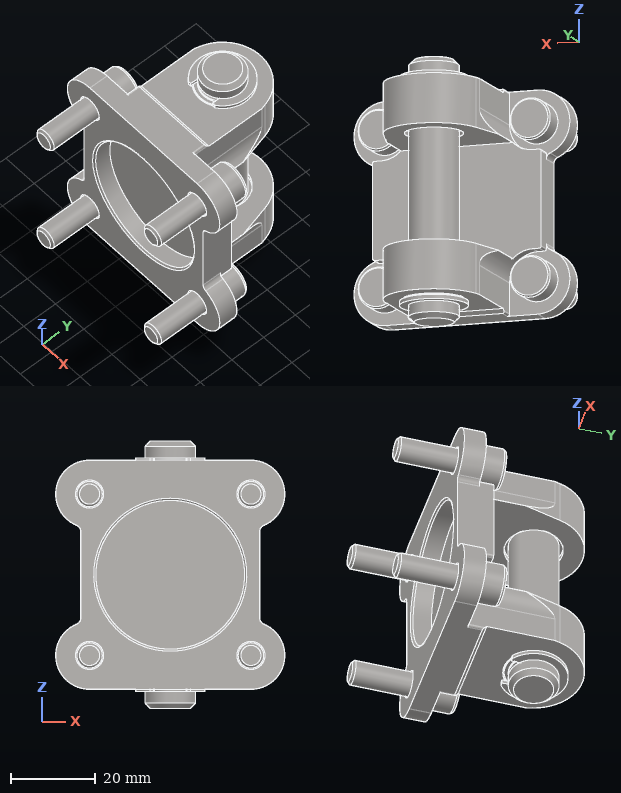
import cadquery as cq
import math


FLANGE_SIZE = 54.0
FLANGE_THICK = 5.4
LOBE_RADIUS = 8.0
WAIST_WIDTH = 42.2
WAIST_FILLET = 1.5
PAD_TOP = 8.95
PAD_EDGE_FILLET = 0.5
BORE_DIAMETER = 35.0
BORE_DEPTH = 5.0
BORE_CHAMFER = 0.5

SCREW_DIAMETER = 6.0
SCREW_LENGTH = 20.0
SCREW_TIP_CHAMFER = 0.6
HEAD_DIAMETER = 10.0
HEAD_HEIGHT = 6.0
HEAD_CHAMFER_RADIAL = 0.4
HEAD_CHAMFER_AXIAL = 0.6
SCREW_HOLE_DIAMETER = 6.6
HEAD_CLEARANCE = 14.1

ARM_TIP_RADIUS = 12.0
ARM_ROOT_WIDTH = 28.0
ARM_TAPER = 15.0
ARM_OUTER_Z = 26.0
ARM_INNER_Z = 14.0

PIN_Y = 24.95
PIN_DIAMETER = 12.0
PIN_LENGTH = 63.0
PIN_CHAMFER = 1.25
SEAT_DIAMETER = 13.9
SEAT_DEPTH = 1.25
SEAT_GROOVE = 0.3
CLIP_DIAMETER = 16.25
CLIP_BORE = 8.0
CLIP_THICK = 1.0
CLIP_INNER_Z = 26.5
CLIP_MOUTH_INNER = 7.3
CLIP_MOUTH_OUTER = 7.8
CLIP_FLAT = 6.6

HALF = FLANGE_SIZE / 2
SCREW_OFFSET = HALF - LOBE_RADIUS
CORNERS = [(x, z) for x in (-SCREW_OFFSET, SCREW_OFFSET) for z in (-SCREW_OFFSET, SCREW_OFFSET)]
ARM_TIP_Y = PIN_Y + ARM_TIP_RADIUS
CLIP_LEVELS = [CLIP_INNER_Z, -CLIP_INNER_Z - CLIP_THICK]


def prism_y(sketch, y_from, y_to):
    """Extrude a closed XZ outline from one Y level to another."""
    return sketch.extrude(y_from - y_to).translate((0, y_from, 0))


def cylinder_y(x, z, diameter, y_from, y_to):
    """Cylinder along Y, centred at x and z."""
    return prism_y(cq.Workplane("XZ").center(x, z).circle(diameter / 2), y_from, y_to)


def cylinder_z(diameter, z_from, z_to):
    """Cylinder around the pin axis."""
    return cq.Workplane("XY", origin=(0, PIN_Y, z_from)).circle(diameter / 2).extrude(z_to - z_from)


def make_flange():
    """Plate with a straight waist and a rounded bar across each end."""
    flange = prism_y(cq.Workplane("XZ").rect(WAIST_WIDTH, 2 * SCREW_OFFSET), 0, FLANGE_THICK)
    for z in (-SCREW_OFFSET, SCREW_OFFSET):
        bar = cq.Workplane("XZ").center(0, z).slot2D(FLANGE_SIZE, 2 * LOBE_RADIUS)
        flange = flange.union(prism_y(bar, 0, FLANGE_THICK))
    lobe_reach = math.sqrt(LOBE_RADIUS**2 - (WAIST_WIDTH / 2 - SCREW_OFFSET) ** 2)
    notch_z = SCREW_OFFSET - lobe_reach
    near = 0.05
    for x in (-WAIST_WIDTH / 2, WAIST_WIDTH / 2):
        for z in (-notch_z, notch_z):
            corner = cq.selectors.BoxSelector(
                (x - near, -near, z - near), (x + near, FLANGE_THICK + near, z + near)
            )
            flange = flange.edges("|Y").edges(corner).fillet(WAIST_FILLET)
    return flange


def make_pad():
    """Raised block on the back of the flange."""
    return prism_y(cq.Workplane("XZ").rect(WAIST_WIDTH, FLANGE_SIZE), FLANGE_THICK, PAD_TOP)


def head_clearance(x, z):
    """Space around a screw head, round toward the centre and open outward in X and Z."""
    side_x = math.copysign(1, x)
    side_z = math.copysign(1, z)
    radius = HEAD_CLEARANCE / 2
    mid = radius * math.sqrt(0.5)
    outline = (
        cq.Workplane("XZ")
        .center(x, z)
        .moveTo(-side_x * radius, side_z * HALF)
        .lineTo(-side_x * radius, 0)
        .threePointArc((-side_x * mid, -side_z * mid), (0, -side_z * radius))
        .lineTo(side_x * HALF, -side_z * radius)
        .lineTo(side_x * HALF, side_z * HALF)
        .close()
    )
    return prism_y(outline, FLANGE_THICK, ARM_TIP_Y)


def make_arms():
    """Two arms with a round tip, tangent flanks and a straight root."""
    taper = math.radians(ARM_TAPER)
    tangent_x = ARM_TIP_RADIUS * math.cos(taper)
    tangent_y = PIN_Y + ARM_TIP_RADIUS * math.sin(taper)
    root_x = ARM_ROOT_WIDTH / 2
    shoulder_y = tangent_y - (root_x - tangent_x) / math.tan(taper)
    outline = (
        cq.Workplane("XY")
        .moveTo(-root_x, PAD_TOP)
        .lineTo(-root_x, shoulder_y)
        .lineTo(-tangent_x, tangent_y)
        .threePointArc((0, ARM_TIP_Y), (tangent_x, tangent_y))
        .lineTo(root_x, shoulder_y)
        .lineTo(root_x, PAD_TOP)
        .close()
    )
    upper = outline.extrude(ARM_OUTER_Z - ARM_INNER_Z).translate((0, 0, ARM_INNER_Z))
    rise = HALF - ARM_OUTER_Z
    step_width = 2 * (SCREW_OFFSET - HEAD_CLEARANCE / 2)
    step = (
        cq.Workplane("YZ")
        .polyline([(PAD_TOP, ARM_OUTER_Z), (PAD_TOP + rise, ARM_OUTER_Z), (PAD_TOP, HALF)])
        .close()
        .extrude(step_width)
        .translate((-step_width / 2, 0, 0))
    )
    upper = upper.union(step)
    return upper.union(upper.mirror("XY"))


def cut_pin_seat(bracket):
    """Pin hole with an inner recess and an outer bevelled ring in each arm."""
    seat_radius = SEAT_DIAMETER / 2
    groove = (
        cq.Workplane("XZ")
        .polyline([
            (seat_radius, ARM_OUTER_Z),
            (seat_radius + SEAT_GROOVE, ARM_OUTER_Z),
            (seat_radius, ARM_OUTER_Z - SEAT_GROOVE),
        ])
        .close()
        .revolve(360, (0, 0, 0), (0, 1, 0))
        .translate((0, PIN_Y, 0))
    )
    recess_z = ARM_INNER_Z + SEAT_DEPTH
    bracket = bracket.cut(cylinder_z(PIN_DIAMETER, -HALF, HALF))
    bracket = bracket.cut(cylinder_z(SEAT_DIAMETER, -recess_z, recess_z))
    return bracket.cut(groove).cut(groove.mirror("XY"))


def make_bracket():
    """Flange, pad and fork arms in one piece, with the screw holes and the round pocket."""
    bracket = make_flange().union(make_pad()).union(make_arms())
    for x, z in CORNERS:
        bracket = bracket.cut(head_clearance(x, z))
    pad_corners = cq.selectors.BoxSelector(
        (-FLANGE_SIZE, FLANGE_THICK, -FLANGE_SIZE), (FLANGE_SIZE, PAD_TOP, FLANGE_SIZE)
    )
    bracket = bracket.edges("|Y").edges(pad_corners).fillet(PAD_EDGE_FILLET)
    bracket = cut_pin_seat(bracket)
    for x, z in CORNERS:
        bracket = bracket.cut(cylinder_y(x, z, SCREW_HOLE_DIAMETER, 0, FLANGE_THICK))
    bore = cylinder_y(0, 0, BORE_DIAMETER, 0, BORE_DEPTH)
    bore_rim = cq.Workplane(cq.Solid.makeCone(
        BORE_DIAMETER / 2 + BORE_CHAMFER, BORE_DIAMETER / 2, BORE_CHAMFER,
        cq.Vector(0, 0, 0), cq.Vector(0, 1, 0)))
    return bracket.cut(bore).cut(bore_rim)


def make_pin():
    """Hinge pin with chamfered ends and a clip groove near each end."""
    pin = cylinder_z(PIN_DIAMETER, -PIN_LENGTH / 2, PIN_LENGTH / 2)
    pin = pin.faces("<Z or >Z").chamfer(PIN_CHAMFER)
    for z in CLIP_LEVELS:
        groove = cylinder_z(PIN_DIAMETER, z, z + CLIP_THICK).cut(cylinder_z(CLIP_BORE, z, z + CLIP_THICK))
        pin = pin.cut(groove)
    return pin


def make_clip(z_from):
    """Open retaining clip whose mouth faces the flange."""
    z_to = z_from + CLIP_THICK
    clip = cylinder_z(CLIP_DIAMETER, z_from, z_to).cut(cylinder_z(CLIP_BORE, z_from, z_to))
    inner_x = CLIP_MOUTH_INNER / 2
    outer_x = CLIP_MOUTH_OUTER / 2
    mouth = (
        cq.Workplane("XY", origin=(0, PIN_Y, z_from))
        .polyline([(-inner_x, 0), (inner_x, 0), (outer_x, -CLIP_FLAT), (-outer_x, -CLIP_FLAT)])
        .close()
        .extrude(CLIP_THICK)
    )
    beyond_flat = (
        cq.Workplane("XY", origin=(0, PIN_Y - CLIP_FLAT - CLIP_DIAMETER / 2, z_from))
        .rect(CLIP_DIAMETER, CLIP_DIAMETER)
        .extrude(CLIP_THICK)
    )
    return clip.cut(mouth).cut(beyond_flat)


def make_screw(x, z):
    """Cap screw resting on the back of the flange, revolved about its axis."""
    shank = SCREW_DIAMETER / 2
    head = HEAD_DIAMETER / 2
    tip_y = FLANGE_THICK - SCREW_LENGTH
    head_y = FLANGE_THICK + HEAD_HEIGHT
    profile = [
        (0, tip_y),
        (shank - SCREW_TIP_CHAMFER, tip_y),
        (shank, tip_y + SCREW_TIP_CHAMFER),
        (shank, FLANGE_THICK),
        (head, FLANGE_THICK),
        (head, head_y - HEAD_CHAMFER_AXIAL),
        (head - HEAD_CHAMFER_RADIAL, head_y),
        (0, head_y),
    ]
    screw = cq.Workplane("XY").polyline(profile).close().revolve(360, (0, 0, 0), (0, 1, 0))
    return screw.translate((x, 0, z))


bracket = make_bracket()
pin = make_pin()
clips = [make_clip(z) for z in CLIP_LEVELS]
screws = [make_screw(x, z) for x, z in CORNERS]

bodies = [bracket, pin, *clips, *screws]
result = cq.Compound.makeCompound([body.val() for body in bodies])